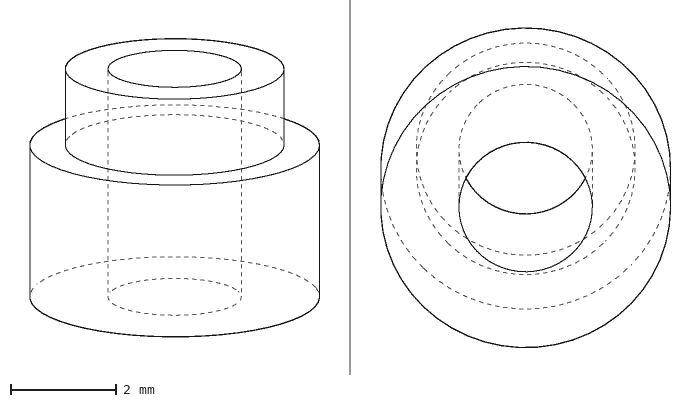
import cadquery as cq

body_diameter = 5.5
neck_diameter = 4.15
bore_diameter = 2.53
total_height = 4.5
body_height = 3.0
neck_height = total_height - body_height

body = cq.Workplane("XY").circle(body_diameter / 2).extrude(body_height)

stepped_bushing = body.faces(">Z").workplane().circle(neck_diameter / 2).extrude(neck_height)

result = stepped_bushing.faces(">Z").workplane().hole(bore_diameter)